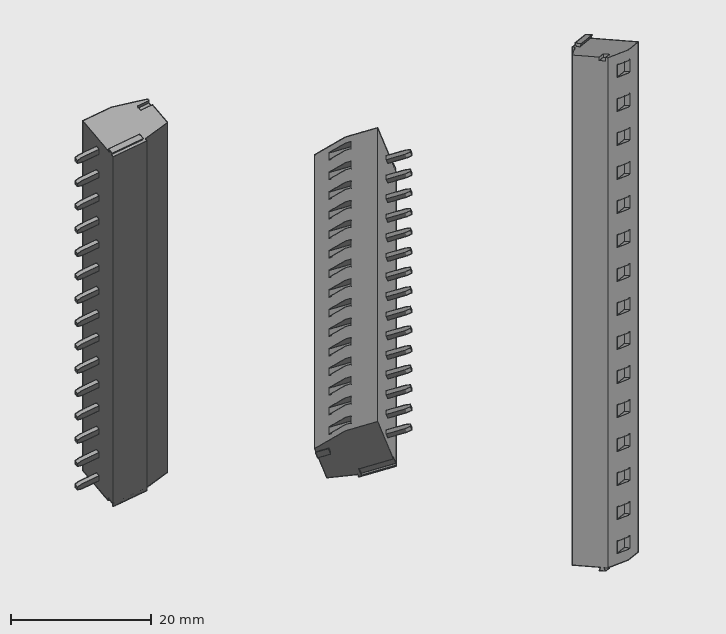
import cadquery as cq

total_height = 76.0
link_height = 0.5
pole_count = 15
height = total_height - 2 * link_height
pitch = height / pole_count
width = 8.1
depth = 10.0

back_left = 1.45
back_right = 6.8
left_slope_start = 4.9
step_y = 5.7
step_x = 7.7

window_y_min = 4.0
window_y_max = 7.6
window_height = 1.8
window_floor = 0.8

pin_length = 3.65
pin_thickness = 0.7
pin_width = 1.1
pin_x = 4.0
pin_tip_length = 0.75
pin_tip_width = 0.6

link_flare = 0.2
rail_x = 7.4
rail_neck = 0.5
groove_width = 1.15
rail_length = 5.25
key_x = 2.3
key_neck = 0.5
key_length = 2.0
notch_width = 0.9


def make_housing():
    """Plain housing whose side faces slope inward towards the back."""
    return (
        cq.Workplane("XY")
        .polyline([
            (0, 0),
            (width, 0),
            (width, step_y),
            (step_x, step_y),
            (back_right, depth),
            (back_left, depth),
            (0, left_slope_start),
        ])
        .close()
        .extrude(height)
    )


def dovetail(center_x, neck, y_min, length, base_z, direction):
    """Dovetail bar along Y that widens from base_z in the given Z direction (+1 or -1)."""
    half_neck = neck / 2
    half_wide = half_neck + link_flare
    end_z = base_z + direction * link_height
    return (
        cq.Workplane("XZ", origin=(0, y_min, 0))
        .polyline([
            (center_x - half_neck, base_z),
            (center_x + half_neck, base_z),
            (center_x + half_wide, end_z),
            (center_x - half_wide, end_z),
        ])
        .close()
        .extrude(-length)
    )


def slot(center_x, slot_width, y_min, length, base_z):
    """Straight-sided block along Y, one link height tall, used to cut a clearance slot."""
    return cq.Workplane("XY").box(
        slot_width, length, link_height, centered=(True, False, False)
    ).translate((center_x, y_min, base_z))


def make_window(z):
    """Cutter for one wire window, from the left face in to the window floor."""
    window_length = window_y_max - window_y_min
    return cq.Workplane("XY").box(
        window_floor, window_length, window_height, centered=(False, False, True)
    ).translate((0, window_y_min, z))


def make_pin(z):
    """Flat pin that narrows in Z towards its free end, rooted in the front face."""
    half_width = pin_width / 2
    half_tip = pin_tip_width / 2
    shoulder_y = pin_tip_length - pin_length
    return (
        cq.Workplane("YZ", origin=(pin_x - pin_thickness / 2, 0, z))
        .polyline([
            (0, -half_width),
            (shoulder_y, -half_width),
            (-pin_length, -half_tip),
            (-pin_length, half_tip),
            (shoulder_y, half_width),
            (0, half_width),
        ])
        .close()
        .extrude(pin_thickness)
    )


result = make_housing()

for pole in range(pole_count):
    pole_z = (pole + 0.5) * pitch
    result = result.cut(make_window(pole_z)).union(make_pin(pole_z))

result = result.union(dovetail(rail_x, rail_neck, 0, rail_length, height, 1))
result = result.cut(slot(rail_x, groove_width, 0, rail_length, 0))

key_y = depth - key_length
result = result.union(dovetail(key_x, key_neck, key_y, key_length, 0, -1))
result = result.cut(slot(key_x, notch_width, key_y, key_length, height - link_height))